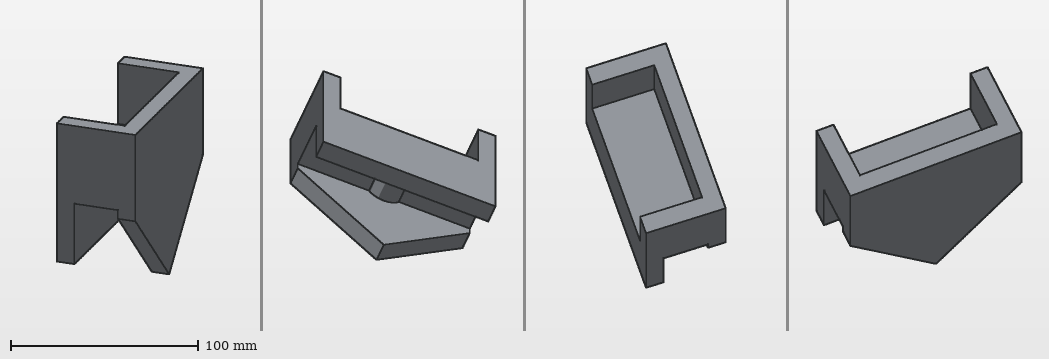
import cadquery as cq

width = 45.0
length = 100.0
height = 100.0
wall = 10.0

tray_depth = 35.0

plate_bottom = 20.0
point_top = 50.0
channel_ceiling = 55.0

ridge_radius = 10.0
ridge_bottom = 50.0

channel_width = width - 2 * wall
back_start = width - wall


def slab(x_start, x_size, y_size, z_bottom, z_top):
    """Rectangular block centred on Y."""
    return (
        cq.Workplane("XY")
        .box(x_size, y_size, z_top - z_bottom, centered=(False, True, False))
        .translate((x_start, 0, z_bottom))
    )


def pointed_back():
    """Back wall whose lower edge tapers to a point at Z = 0."""
    half = length / 2
    outline = [(-half, height), (-half, point_top), (0, 0), (half, point_top), (half, height)]
    return cq.Workplane("YZ").polyline(outline).close().extrude(wall).translate((back_start, 0, 0))


def ceiling_ridge():
    """Cylinder across the channel, partly sunk into the ceiling."""
    return (
        cq.Workplane("YZ")
        .center(0, ridge_bottom + ridge_radius)
        .circle(ridge_radius)
        .extrude(channel_width)
        .translate((wall, 0, 0))
    )


front_plate = slab(0, wall, length, plate_bottom, height)
core = slab(wall, channel_width, length, channel_ceiling, height)
tray = slab(0, back_start, length - 2 * wall, height - tray_depth, height)

result = front_plate.union(core).union(pointed_back()).union(ceiling_ridge()).cut(tray)